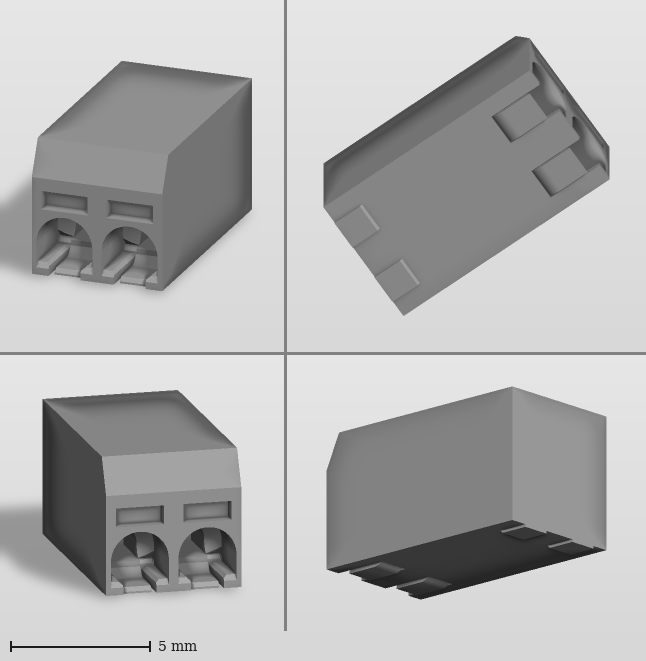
import cadquery as cq
import math


width = 5.0
length = 9.0
height = 5.0
pitch = width / 2
pole_centers = (-pitch / 2, pitch / 2)
bevel_height = 1.305
bevel_angle = 25.0
bevel_depth = bevel_height * math.tan(math.radians(bevel_angle))

slot_width = 1.78
slot_floor = 2.51
slot_height = 0.7
slot_depth = 0.495
slot_ceiling_drop = 0.08

mouth_radius = 1.07
arch_center_z = 1.22
mouth_floor = 0.45
mouth_depth = 2.12
lead_in_drop = 0.18
channel_width = 1.22
throat_radius = 0.56
throat_floor = 0.66
throat_end = 4.5
funnel_depth = mouth_radius - throat_radius

wedge_bottom = 0.54
wedge_top = 0.96
wedge_lower_width = 2.05

contact_width = 2 * throat_radius
contact_thickness = 0.22
pad_drop = 0.1
pad_front = 0.48
tip_edge = 0.07
tip_length = contact_thickness - tip_edge
bend_start = 1.665
bend_inner_radius = 0.31
bend_angle = math.radians(45)
contact_root_length = 0.9
rear_pad_length = 1.11
rear_pad_run_out = 0.1


def extrude_across(profile, x_center, size):
    """Extrude a closed YZ outline along X, centered on x_center."""
    return profile.extrude(size / 2, both=True).translate((x_center, 0, 0))


def across_block(x_center, size, points):
    return extrude_across(cq.Workplane("YZ").polyline(points).close(), x_center, size)


def arch(x_center, radius, floor, start, end):
    """Round-topped, straight-sided passage running along Y."""
    profile = (
        cq.Workplane("XZ", origin=(x_center, start, 0))
        .moveTo(-radius, floor)
        .lineTo(-radius, arch_center_z)
        .threePointArc((0, arch_center_z + radius), (radius, arch_center_z))
        .lineTo(radius, floor)
        .close()
    )
    return profile.extrude(start - end)


def housing():
    outline = [
        (0, 0),
        (length, 0),
        (length, height),
        (bevel_depth, height),
        (0, height - bevel_height),
    ]
    return across_block(0, width, outline)


def release_slot(x_center):
    ceiling = slot_floor + slot_height
    outline = [
        (0, slot_floor),
        (slot_depth, slot_floor),
        (slot_depth, ceiling - slot_ceiling_drop),
        (0, ceiling),
    ]
    return across_block(x_center, slot_width, outline)


def mouth(x_center):
    """Arched opening with a 45 degree lead-in floor, relief bore and open-bottomed channel."""
    opening = arch(x_center, mouth_radius, mouth_floor, 0, mouth_depth)
    lead_in_outline = [
        (0, mouth_floor),
        (lead_in_drop, mouth_floor),
        (0, mouth_floor - lead_in_drop),
    ]
    lead_in = across_block(x_center, 2 * mouth_radius, lead_in_outline)
    bore = (
        cq.Workplane("XZ", origin=(x_center, 0, arch_center_z))
        .circle(mouth_radius)
        .extrude(-mouth_depth)
    )
    channel = cq.Workplane("XY").box(
        channel_width, mouth_depth, arch_center_z, centered=(True, False, False)
    ).translate((x_center, 0, 0))
    return opening.union(lead_in).union(bore).union(channel)


def funnel(x_center):
    """Cone narrowing to the throat, interrupted by the wall that stands up from the mouth floor."""
    cone = cq.Workplane(
        cq.Solid.makeCone(
            mouth_radius,
            throat_radius,
            funnel_depth,
            cq.Vector(x_center, mouth_depth, arch_center_z),
            cq.Vector(0, 1, 0),
        )
    )
    wall = cq.Workplane("XY").box(
        2 * mouth_radius, funnel_depth, throat_floor - mouth_floor, centered=(True, False, False)
    ).translate((x_center, mouth_depth, mouth_floor))
    return cone.cut(wall)


def wedge_recess(x_center):
    """Recess whose sloping roof and floor both run at 45 degrees."""
    split = (mouth_depth, throat_floor)
    roof_end = (mouth_depth + wedge_top - throat_floor, throat_floor)
    floor_end = (mouth_depth + throat_floor - wedge_bottom, throat_floor)
    upper = across_block(x_center, 2 * mouth_radius, [split, roof_end, (mouth_depth, wedge_top)])
    lower = across_block(x_center, wedge_lower_width, [split, floor_end, (mouth_depth, wedge_bottom)])
    return upper.union(lower)


def wire_entry(x_center):
    throat = arch(x_center, throat_radius, throat_floor, mouth_depth, throat_end)
    return mouth(x_center).union(funnel(x_center)).union(wedge_recess(x_center)).union(throat)


def bend_point(radius, angle):
    """Point on a bend arc, measured from where the flat pad ends."""
    center_z = contact_thickness - pad_drop + bend_inner_radius
    return (bend_start + radius * math.sin(angle), center_z - radius * math.cos(angle))


def front_contact(x_center):
    """Solder pad with a beveled tip, bent up into the block that the wire rests on."""
    pad_bottom = -pad_drop
    pad_top = pad_bottom + contact_thickness
    outer_radius = bend_inner_radius + contact_thickness
    root_end = mouth_depth + contact_root_length
    outer_bend_y, outer_bend_z = bend_point(outer_radius, bend_angle)
    root_bottom = outer_bend_z + (mouth_depth - outer_bend_y) * math.tan(bend_angle)
    profile = (
        cq.Workplane("YZ")
        .moveTo(pad_front, pad_bottom)
        .lineTo(bend_start, pad_bottom)
        .threePointArc(bend_point(outer_radius, bend_angle / 2), (outer_bend_y, outer_bend_z))
        .lineTo(mouth_depth, root_bottom)
        .lineTo(root_end, root_bottom)
        .lineTo(root_end, throat_floor)
        .lineTo(mouth_depth, throat_floor)
        .lineTo(mouth_depth, mouth_floor)
        .lineTo(*bend_point(bend_inner_radius, bend_angle))
        .threePointArc(bend_point(bend_inner_radius, bend_angle / 2), (bend_start, pad_top))
        .lineTo(pad_front + tip_length, pad_top)
        .lineTo(pad_front, pad_bottom + tip_edge)
        .close()
    )
    return extrude_across(profile, x_center, contact_width)


def rear_pad(x_center):
    pad_start = length - rear_pad_length
    outline = [
        (length, 0),
        (length, -pad_drop),
        (pad_start, -pad_drop),
        (pad_start - rear_pad_run_out, 0),
    ]
    return across_block(x_center, contact_width, outline)


result = housing()
for pole_x in pole_centers:
    result = result.cut(release_slot(pole_x)).cut(wire_entry(pole_x))
    result = result.union(front_contact(pole_x)).union(rear_pad(pole_x))